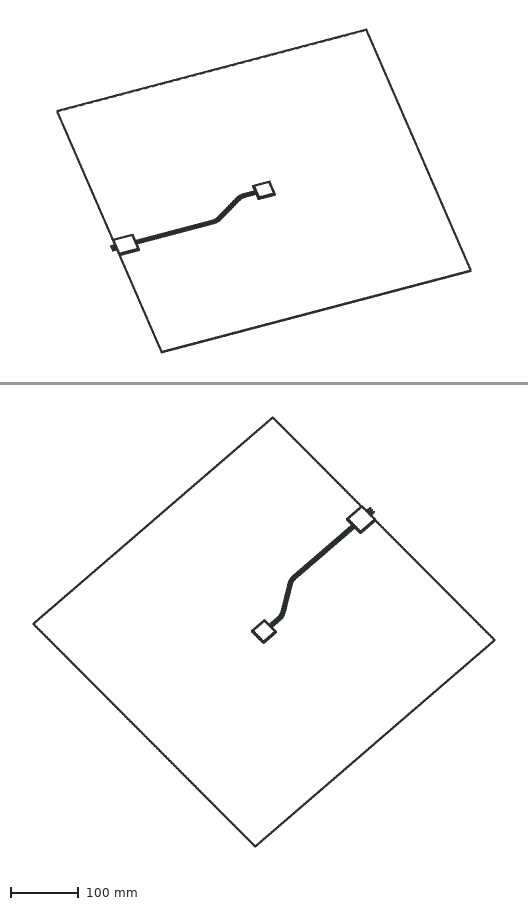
import cadquery as cq
import math

sheet_side = 480.0
sheet_thickness = 2.0
sheet_front = -sheet_side / 2

total_height = 4.5
housing_height = total_height - sheet_thickness
housing_chamfer = 1.5
sensor_side = 26.0
connector_side = 30.0
connector_x = 32.5
connector_y = sheet_front + connector_side / 2

wire_diameter = 1.5
wire_count = 2
wire_pitch = 4.0
wire_sink = 0.1
wire_z = sheet_thickness + wire_diameter / 2 - wire_sink

bend_start_y = -30.0
bend_radius = 20.0
bend_angle = math.radians(34)
burial = 2.5

lead_count = 3
lead_pitch = 4.0
jacket_diameter = 1.5
jacket_length = 2.0
sleeve_diameter = 1.0
sleeve_length = 4.0
core_diameter = 0.75
total_depth = 487.5
lead_length = total_depth - sheet_side
lead_z = sheet_thickness + housing_height / 2


def row_offsets(count, pitch):
    """Evenly spaced positions centred on zero."""
    return [(i - (count - 1) / 2) * pitch for i in range(count)]


def make_housing(side, x, y, chamfered_edges):
    return (
        cq.Workplane("XY", origin=(x, y, sheet_thickness))
        .rect(side, side)
        .extrude(housing_height)
        .faces(">Z")
        .edges(chamfered_edges)
        .chamfer(housing_chamfer)
    )


def make_wire(offset):
    """One wire, running parallel to the cable centreline at the given offset in X."""
    sin_a = math.sin(bend_angle)
    cos_a = math.cos(bend_angle)
    diagonal = (connector_x - 2 * bend_radius * (1 - cos_a)) / sin_a
    bend_end_y = bend_start_y - 2 * bend_radius * sin_a - diagonal * cos_a

    first_centre = (bend_radius, bend_start_y)
    second_centre = (connector_x - bend_radius, bend_end_y)
    first_radius = bend_radius - offset
    second_radius = bend_radius + offset

    def on_first(angle):
        return (
            first_centre[0] - first_radius * math.cos(angle),
            first_centre[1] - first_radius * math.sin(angle),
        )

    def on_second(angle):
        return (
            second_centre[0] + second_radius * math.cos(angle),
            second_centre[1] + second_radius * math.sin(angle),
        )

    start_y = -sensor_side / 2 + burial
    end_y = sheet_front + connector_side - burial
    path = (
        cq.Workplane("XY", origin=(0, 0, wire_z))
        .moveTo(offset, start_y)
        .lineTo(offset, bend_start_y)
        .threePointArc(on_first(bend_angle / 2), on_first(bend_angle))
        .lineTo(*on_second(bend_angle))
        .threePointArc(on_second(bend_angle / 2), on_second(0))
        .lineTo(connector_x + offset, end_y)
    )
    return (
        cq.Workplane("XZ", origin=(offset, start_y, wire_z))
        .circle(wire_diameter / 2)
        .sweep(path)
    )


def make_lead(offset):
    """A jacket, a longer insulating sleeve and a bare core reaching beyond both."""
    base = cq.Workplane("XZ", origin=(connector_x + offset, sheet_front + burial, lead_z))
    jacket = base.circle(jacket_diameter / 2).extrude(burial + jacket_length)
    sleeve = base.circle(sleeve_diameter / 2).extrude(burial + sleeve_length)
    core = base.circle(core_diameter / 2).extrude(burial + lead_length)
    return jacket.union(sleeve).union(core)


result = cq.Workplane("XY").rect(sheet_side, sheet_side).extrude(sheet_thickness)
result = result.union(make_housing(sensor_side, 0, 0, "|X or |Y"))
result = result.union(make_housing(connector_side, connector_x, connector_y, "|Y or >Y"))

for wire_offset in row_offsets(wire_count, wire_pitch):
    result = result.union(make_wire(wire_offset))

for lead_offset in row_offsets(lead_count, lead_pitch):
    result = result.union(make_lead(lead_offset))